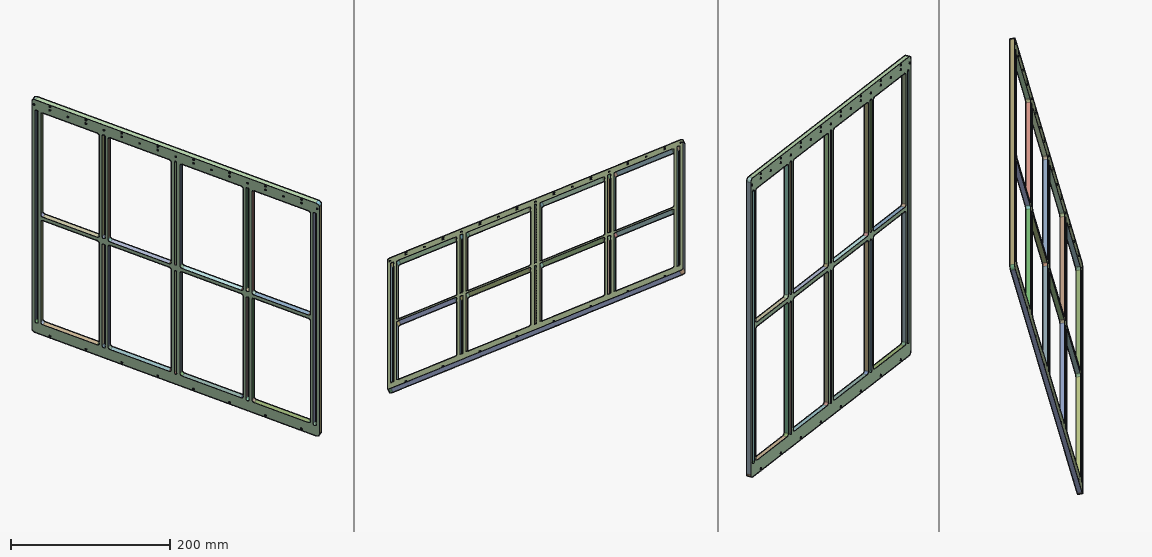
import cadquery as cq

WIDTH = 406.4
THICKNESS = 6.35
HEIGHT = 419.1
CORNER_RADIUS = 5.0

UPRIGHT_X = WIDTH / 4
SIDE_RAIL_WIDTH = 12.7
WINDOW_OUTER_X = WIDTH / 2 - SIDE_RAIL_WIDTH
END_RAIL_WIDTH = 19.05
WINDOW_TOP_Z = HEIGHT / 2 - END_RAIL_WIDTH
CROSSBAR_WIDTH = 6.35
UPRIGHT_WIDTH = 12.7
WINDOW_CORNER_RADIUS = 3.175

SLOT_TOP_Z = 191.5
SLOT_INNER_Z = 5.08
SLOT_WIDTH = 4.12
CENTRE_SLOT_WIDTH = 2.39
EDGE_SLOT_X = 196.5

HOLE_DIAMETER = 2.38
HOLE_PITCH = 25.4
HOLE_EDGE_INSET = 3.175
EDGE_ROW_Z = HEIGHT / 2 - HOLE_EDGE_INSET
EDGE_ROW_PITCH = 2 * HOLE_PITCH
EDGE_ROW_COUNT = 8
INNER_ROW_Z = HEIGHT / 2 - 3 * HOLE_EDGE_INSET
INNER_ROW_COUNT = 15
INNER_ROW_END_X = WIDTH / 2 - HOLE_EDGE_INSET


def make_plate():
    plate = cq.Workplane("XY").box(WIDTH, THICKNESS, HEIGHT)
    return plate.edges("|Y").fillet(CORNER_RADIUS)


def window(x_min, x_max, z_sign):
    """Round-cornered opening between two uprights, above (+1) or below (-1) the crossbar."""
    z_centre = z_sign * (WINDOW_TOP_Z + CROSSBAR_WIDTH / 2) / 2
    height = WINDOW_TOP_Z - CROSSBAR_WIDTH / 2
    opening = (
        cq.Workplane("XY")
        .box(x_max - x_min, THICKNESS, height)
        .translate(((x_min + x_max) / 2, 0, z_centre))
    )
    return opening.edges("|Y").fillet(WINDOW_CORNER_RADIUS)


def slot(x, width, z_min, z_max):
    """Round-ended vertical slot through the plate."""
    return (
        cq.Workplane("XZ", origin=(x, 0, (z_min + z_max) / 2))
        .slot2D(z_max - z_min, width, 90)
        .extrude(THICKNESS, both=True)
    )


def holes(points):
    return (
        cq.Workplane("XZ")
        .pushPoints(points)
        .circle(HOLE_DIAMETER / 2)
        .extrude(THICKNESS, both=True)
    )


def cut_windows(plate):
    inner_column = (UPRIGHT_WIDTH / 2, UPRIGHT_X - UPRIGHT_WIDTH / 2)
    outer_column = (UPRIGHT_X + UPRIGHT_WIDTH / 2, WINDOW_OUTER_X)
    for z_sign in (-1, 1):
        for x_min, x_max in (inner_column, outer_column):
            plate = plate.cut(window(x_min, x_max, z_sign))
            plate = plate.cut(window(-x_max, -x_min, z_sign))
    return plate


def cut_slots(plate):
    for x in (-EDGE_SLOT_X, EDGE_SLOT_X):
        plate = plate.cut(slot(x, SLOT_WIDTH, -SLOT_TOP_Z, SLOT_TOP_Z))
    upright_slots = (
        (-UPRIGHT_X, SLOT_WIDTH),
        (0, CENTRE_SLOT_WIDTH),
        (UPRIGHT_X, SLOT_WIDTH),
    )
    for x, width in upright_slots:
        plate = plate.cut(slot(x, width, SLOT_INNER_Z, SLOT_TOP_Z))
        plate = plate.cut(slot(x, width, -SLOT_TOP_Z, -SLOT_INNER_Z))
    return plate


def centred_row(count, pitch):
    """X positions of evenly spaced holes, symmetric about the middle of the plate."""
    return [(i - (count - 1) / 2) * pitch for i in range(count)]


def cut_holes(plate):
    edge_row_xs = centred_row(EDGE_ROW_COUNT, EDGE_ROW_PITCH)
    points = [(x, z) for x in edge_row_xs for z in (-EDGE_ROW_Z, EDGE_ROW_Z)]
    inner_row_xs = centred_row(INNER_ROW_COUNT, HOLE_PITCH) + [-INNER_ROW_END_X, INNER_ROW_END_X]
    points += [(x, INNER_ROW_Z) for x in inner_row_xs]
    return plate.cut(holes(points))


plate = make_plate()
plate = cut_windows(plate)
plate = cut_slots(plate)
result = cut_holes(plate)